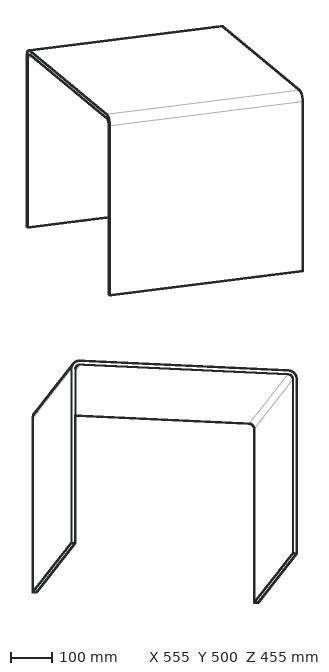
import cadquery as cq

width = 555.0
depth = 500.0
height = 455.0

thickness = 10.0
inner_bend_radius = 12.0
outer_bend_radius = inner_bend_radius + thickness


def bent_block(block_width, block_height, bend_radius):
    """Block standing on Z = 0 with its two upper long edges rounded."""
    return (
        cq.Workplane("XY")
        .box(block_width, depth, block_height, centered=(True, True, False))
        .edges("|Y and >Z")
        .fillet(bend_radius)
    )


outer = bent_block(width, height, outer_bend_radius)
inner = bent_block(width - 2 * thickness, height - thickness, inner_bend_radius)
result = outer.cut(inner)